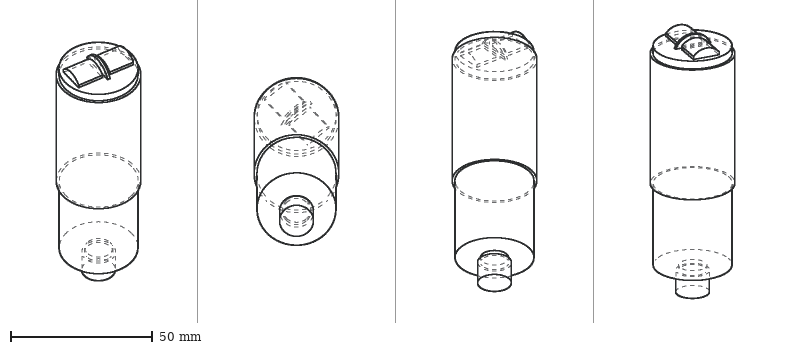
import cadquery as cq

connector_diameter = 12.0
connector_height = 8.5
neck_diameter = 10.0
neck_height = 1.9
barrel_diameter = 28.0
barrel_height = 31.5
sleeve_diameter = 30.0
sleeve_height = 50.0
cap_diameter = barrel_diameter
cap_height = 3.0

axis_depth = 3.0
disc_radius = 7.5
disc_thickness = 1.0
roller_radius = 6.5
roller_width = 10.0
roller_length = 10.0
roller_inner_offset = 1.5

body_sections = [
    (connector_diameter, connector_height),
    (neck_diameter, neck_height),
    (barrel_diameter, barrel_height),
    (sleeve_diameter, sleeve_height),
    (cap_diameter, cap_height),
]
cap_top = sum(height for _, height in body_sections)


def make_body():
    """Stack the coaxial cylinders on the Z axis, starting at Z = 0."""
    body = cq.Workplane("XY")
    base = 0.0
    for diameter, height in body_sections:
        section = cq.Workplane("XY").workplane(offset=base).circle(diameter / 2).extrude(height)
        body = body.union(section)
        base += height
    return body


def make_crown_piece(radius, width, y_start, length):
    """Part of a Y-axis cylinder that stands above the cap, trimmed to a width in X."""
    cylinder = (
        cq.Workplane("XZ", origin=(0, y_start, cap_top - axis_depth))
        .circle(radius)
        .extrude(-length)
    )
    visible_block = (
        cq.Workplane("XY", origin=(0, y_start + length / 2, cap_top))
        .rect(width, length)
        .extrude(radius)
    )
    return cylinder.intersect(visible_block)


def make_disc():
    """Thin disc segment centred between the rollers, at its full width."""
    return make_crown_piece(disc_radius, 2 * disc_radius, -disc_thickness / 2, disc_thickness)


def make_rollers():
    """One flat-sided roller on each side of the disc."""
    roller_starts = (roller_inner_offset, -roller_inner_offset - roller_length)
    return [make_crown_piece(roller_radius, roller_width, start, roller_length) for start in roller_starts]


result = make_body().union(make_disc())
for roller in make_rollers():
    result = result.union(roller)